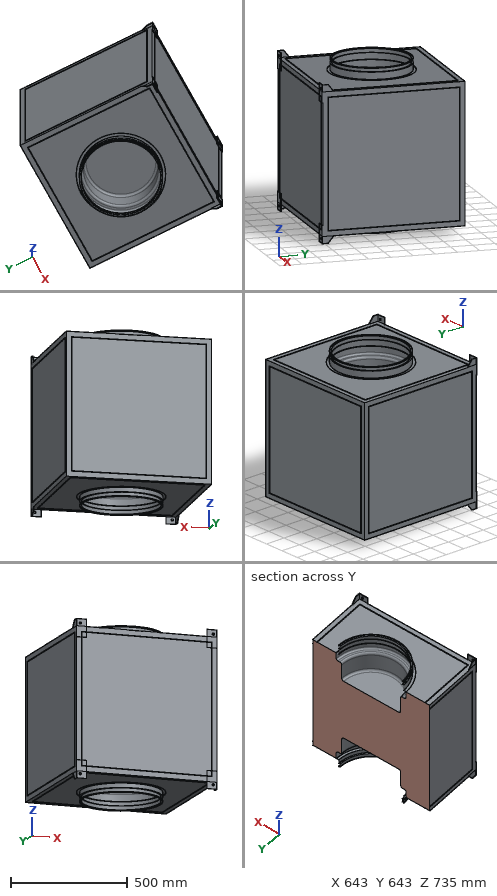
import cadquery as cq
total_height = 735.0
casing_width = 643.0
casing_depth = 640.0
casing_height = 640.0

frame_width = 23.5
seam_width = 2.0
seam_depth = 1.5

upper_spigot_height = 54.0
lower_spigot_height = total_height - casing_height - upper_spigot_height
collar_radius = 179.0
neck_radius = 172.0
spigot_wall = 1.5
rim_thickness = 4.5
neck_length = 16.0
flange_radius = 192.5
flange_rise = 1.0
flange_sink = 1.5

chamber_radius = 191.0
chamber_depth = 43.0
chamber_fillet = 9.0
throat_radius = 161.0
throat_round = 11.0
floor_depth = 147.0
floor_fillet = 11.0

bracket_plate = 3.0
bracket_width = 46.0
bracket_top = 351.0
bracket_bottom = 271.0
ear_top_length = 27.0
ear_base_length = 52.0
hole_diameter = 9.0
hole_from_side = 18.0
hole_from_end = 19.0

casing_top = casing_height / 2
casing_front = -casing_depth / 2
bracket_front = casing_front - bracket_plate


def seam(plane, width, height, offset):
    """Rectangular seam groove sunk into the face lying on the given plane."""
    outer_width = width - 2 * frame_width
    outer_height = height - 2 * frame_width
    return (
        cq.Workplane(plane)
        .workplane(offset=offset - seam_depth)
        .rect(outer_width, outer_height)
        .rect(outer_width - 2 * seam_width, outer_height - 2 * seam_width)
        .extrude(2 * seam_depth)
    )


def make_casing():
    """Box with a panel seam on each of its six faces."""
    casing = cq.Workplane("XY").box(casing_width, casing_depth, casing_height)
    faces = [
        ("XY", casing_width, casing_depth, casing_height / 2),
        ("XZ", casing_width, casing_height, casing_depth / 2),
        ("YZ", casing_depth, casing_height, casing_width / 2),
    ]
    for plane, width, height, offset in faces:
        groove = seam(plane, width, height, offset)
        casing = casing.cut(groove).cut(groove.mirror(plane))
    return casing


def make_spigot(height):
    """Outer body of a spigot standing on the top face, still filled inside."""
    top = casing_top + height
    neck_top = top - rim_thickness
    neck_bottom = neck_top - neck_length
    return (
        cq.Workplane("XZ")
        .moveTo(0, casing_top - flange_sink)
        .lineTo(flange_radius, casing_top - flange_sink)
        .lineTo(flange_radius, casing_top + flange_rise)
        .lineTo(collar_radius, casing_top + flange_rise)
        .lineTo(collar_radius, neck_bottom)
        .lineTo(neck_radius, neck_bottom)
        .lineTo(neck_radius, neck_top)
        .lineTo(collar_radius, neck_top)
        .lineTo(collar_radius, top)
        .lineTo(0, top)
        .close()
        .revolve(360, (0, 0), (0, 1))
    )


def make_duct(height):
    """Hollow of a spigot on the top face: sleeve, wide chamber and closed round throat."""
    top = casing_top + height
    neck_top = top - rim_thickness + spigot_wall
    neck_bottom = top - rim_thickness - neck_length - spigot_wall
    neck_bore = neck_radius - spigot_wall
    collar_bore = collar_radius - spigot_wall
    ledge = casing_top - chamber_depth
    floor = casing_top - floor_depth
    return (
        cq.Workplane("XZ")
        .moveTo(0, top)
        .lineTo(collar_bore, top)
        .lineTo(collar_bore, neck_top)
        .lineTo(neck_bore, neck_top)
        .lineTo(neck_bore, neck_bottom)
        .lineTo(collar_bore, neck_bottom)
        .lineTo(collar_bore, casing_top - flange_sink)
        .lineTo(chamber_radius, casing_top - flange_sink)
        .lineTo(chamber_radius, ledge + chamber_fillet)
        .radiusArc((chamber_radius - chamber_fillet, ledge), chamber_fillet)
        .lineTo(throat_radius + throat_round, ledge)
        .radiusArc((throat_radius, ledge - throat_round), -throat_round)
        .lineTo(throat_radius, floor + floor_fillet)
        .radiusArc((throat_radius - floor_fillet, floor), floor_fillet)
        .lineTo(0, floor)
        .close()
        .revolve(360, (0, 0), (0, 1))
    )


def make_bracket():
    """Upper bracket on the -X front edge: front plate plus side ear."""
    side = -casing_width / 2
    height = bracket_top - bracket_bottom
    front_plate = cq.Workplane("XY").box(
        bracket_width, bracket_plate, height, centered=False
    ).translate((side, bracket_front, bracket_bottom))
    ear = (
        cq.Workplane("YZ")
        .workplane(offset=side)
        .moveTo(bracket_front, bracket_bottom)
        .lineTo(bracket_front, bracket_top)
        .lineTo(bracket_front + ear_top_length, bracket_top)
        .lineTo(bracket_front + ear_base_length, casing_top)
        .lineTo(bracket_front + ear_base_length, casing_top - frame_width)
        .lineTo(casing_front + frame_width, casing_top - frame_width)
        .lineTo(casing_front + frame_width, bracket_bottom)
        .close()
        .extrude(bracket_plate)
    )
    hole = (
        cq.Workplane("XZ", origin=(side + hole_from_side, casing_front, bracket_top - hole_from_end))
        .circle(hole_diameter / 2)
        .extrude(bracket_plate)
    )
    return front_plate.union(ear).cut(hole)


result = make_casing()

upper_spigot = make_spigot(upper_spigot_height)
lower_spigot = make_spigot(lower_spigot_height).mirror("XY")
result = result.union(upper_spigot).union(lower_spigot)

upper_duct = make_duct(upper_spigot_height)
lower_duct = make_duct(lower_spigot_height).mirror("XY")
result = result.cut(upper_duct).cut(lower_duct)

upper_left = make_bracket()
upper_right = upper_left.mirror("YZ")
for bracket in (upper_left, upper_right):
    result = result.union(bracket).union(bracket.mirror("XY"))